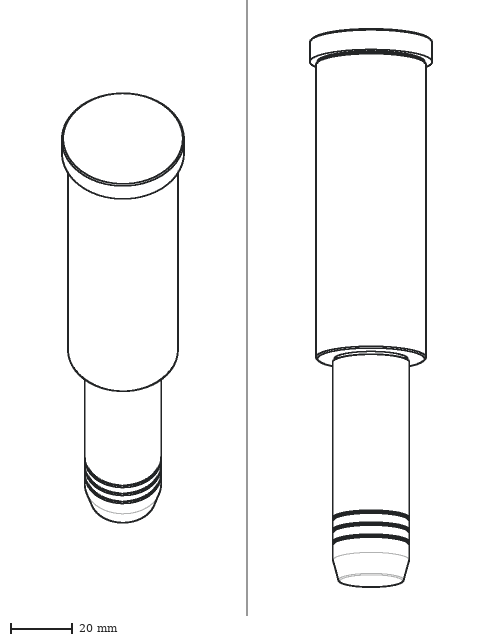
import cadquery as cq
import math

TOTAL_LENGTH = 180.0
HEAD_HEIGHT = 7.0
PILOT_LENGTH = 74.0

HEAD_DIAMETER = 40.0
BODY_DIAMETER = 36.0
PILOT_DIAMETER = 25.0

HEAD_NECK_WIDTH = 0.5
PILOT_NECK_WIDTH = 1.0
NECK_DEPTH = 0.5

HEAD_CHAMFER = 0.5
BODY_CHAMFER = 0.5

TIP_HEIGHT = 7.0
TIP_HALF_ANGLE = 15.0
TIP_DIAMETER = PILOT_DIAMETER - 2 * TIP_HEIGHT * math.tan(math.radians(TIP_HALF_ANGLE))
TIP_FILLET = 0.5

GROOVE_COUNT = 3
GROOVE_WIDTH = 1.0
GROOVE_DEPTH = 0.5
GROOVE_FLANK_ANGLE = 30.0
GROOVE_PITCH = 4.0
FIRST_GROOVE_Z = 12.0


def cylinder(diameter, bottom_z, top_z):
    """Round section of the pin between two heights."""
    base = cq.Workplane("XY").workplane(offset=bottom_z)
    return base.circle(diameter / 2).extrude(top_z - bottom_z)


def groove_cut(diameter, depth, bottom_z, width):
    """Ring of trapezoidal section that cuts a groove with sloping flanks into a round section."""
    radius = diameter / 2
    floor_radius = radius - depth
    flank_width = depth * math.tan(math.radians(GROOVE_FLANK_ANGLE))
    return (
        cq.Workplane("XZ")
        .moveTo(radius, bottom_z)
        .lineTo(floor_radius, bottom_z + flank_width)
        .lineTo(floor_radius, bottom_z + width - flank_width)
        .lineTo(radius, bottom_z + width)
        .close()
        .revolve(360, (0, 0, 0), (0, 1, 0))
    )


def make_head():
    """Flange at the top, with a broken upper edge."""
    head = cylinder(HEAD_DIAMETER, TOTAL_LENGTH - HEAD_HEIGHT, TOTAL_LENGTH)
    return head.faces(">Z").chamfer(HEAD_CHAMFER)


def make_body():
    """Main shank, with a relief neck under the head and both ends chamfered."""
    head_underside = TOTAL_LENGTH - HEAD_HEIGHT
    shank_top = head_underside - HEAD_NECK_WIDTH
    shank = cylinder(BODY_DIAMETER, PILOT_LENGTH, shank_top).faces("<Z or >Z").chamfer(BODY_CHAMFER)
    neck = cylinder(BODY_DIAMETER - 2 * NECK_DEPTH, shank_top, head_underside)
    return shank.union(neck)


def make_pilot():
    """Slim lower section, with a relief neck at its top and ring grooves near the tip."""
    neck_bottom = PILOT_LENGTH - PILOT_NECK_WIDTH
    pilot = cylinder(PILOT_DIAMETER, TIP_HEIGHT, neck_bottom)
    neck = cylinder(PILOT_DIAMETER - 2 * NECK_DEPTH, neck_bottom, PILOT_LENGTH)
    pilot = pilot.union(neck)
    for index in range(GROOVE_COUNT):
        groove_z = FIRST_GROOVE_Z + index * GROOVE_PITCH
        pilot = pilot.cut(groove_cut(PILOT_DIAMETER, GROOVE_DEPTH, groove_z, GROOVE_WIDTH))
    return pilot


def make_tip():
    """Cone that leads the pilot in, with a rounded lower edge."""
    tip = (
        cq.Workplane("XY")
        .circle(TIP_DIAMETER / 2)
        .workplane(offset=TIP_HEIGHT)
        .circle(PILOT_DIAMETER / 2)
        .loft(ruled=True)
    )
    return tip.faces("<Z").edges().fillet(TIP_FILLET)


result = make_head().union(make_body()).union(make_pilot()).union(make_tip())